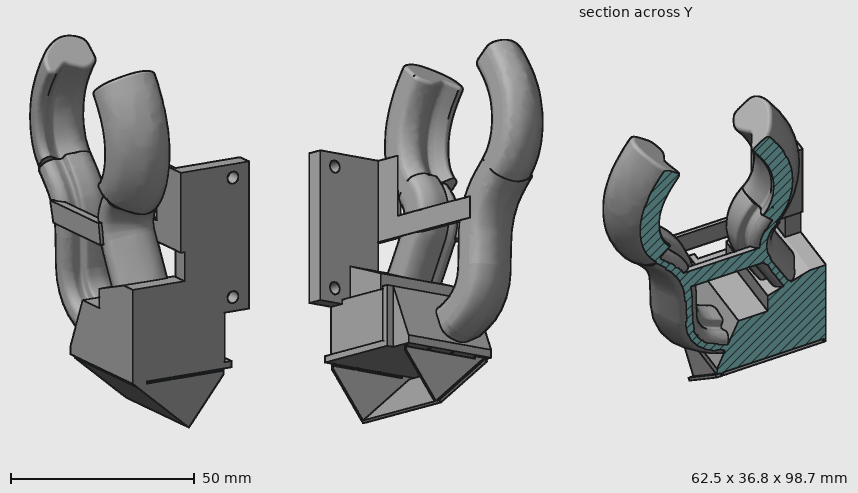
import cadquery as cq
import math


block_length = 33.26
block_depth = 29.1
nose_height = 2.2
shelf_start = 26.7
shelf_height = 17.0
step_length = 17.8
step_edge_height = 22.5
step_depth = 26.2
block_height = 26.7

plate_thickness = 4.8
plate_depth = 36.78
plate_bottom = 15.8
plate_top = 57.6
web_front = 15.2
web_back = 16.35
web_length = 13.0
hole_diameter = 3.4
hole_depth_position = 31.7
hole_heights = (19.85, 53.75)

lip_depth = 2.15
lip_wall = 1.8

sheet_thickness = 0.85
sheet_tip = (17.75, -15.05)
support_gap = 0.6
post_width = 0.6
slot_length = 7.5
slot_count = 3
first_slot = 4.45
rib_thickness = 0.6
rib_inset = 1.45
rib_back_height = 1.6

arm_axis = -33.4
arm_width = 11.8
arm_back = 16.2
end_rounding = 1.0
jaw_tip = (-15.4, 80.45)
jaw_side = (-23.15, 61.6)
jaw_root = (-18.2, 48.0)
jaw_tip_direction = (-0.61, -0.79)
jaw_root_direction = (1, -1)
left_leg = [(-9.2, 39.0), (-8.45, 13.0), (7.5, 6.4)]
left_leg_radii = (20.0, 14.0)
right_leg = [(-12.3, 42.1), (-24.6, 20.0)]
right_leg_radii = (10.0,)

bar_bottom = 34.9
bar_top = 40.85
front_bar_front = 0.15
front_bar_back = 2.8
bar_left = (-44.3, -42.6)
bar_right = (-18.5, -17.4)
rear_bar_left = -44.0


def prism_along_y(points, front, back):
    """Straight-sided XZ outline, extruded from Y = front to Y = back."""
    outline = cq.Workplane("XZ", origin=(0, front, 0)).polyline(points).close()
    return outline.extrude(front - back)


def prism_along_x(points, start, length):
    """Straight-sided YZ outline, extruded in +X from X = start."""
    return cq.Workplane("YZ", origin=(start, 0, 0)).polyline(points).close().extrude(length)


def box_between(low, high):
    size = [b - a for a, b in zip(low, high)]
    return cq.Workplane("XY").box(*size, centered=False).translate(low)


def make_block():
    lower = prism_along_y(
        [
            (0, 0),
            (-block_length, 0),
            (-block_length, nose_height),
            (-shelf_start, shelf_height),
            (0, shelf_height),
        ],
        0,
        block_depth,
    )
    step = prism_along_y(
        [
            (0, 0),
            (-step_length, 0),
            (-step_length, step_edge_height),
            (-plate_thickness, block_height),
            (0, block_height),
        ],
        0,
        step_depth,
    )
    return lower.union(step)


def make_plate():
    plate = box_between((-plate_thickness, web_back, plate_bottom), (0, plate_depth, plate_top))
    holes = (
        cq.Workplane("YZ")
        .pushPoints([(hole_depth_position, height) for height in hole_heights])
        .circle(hole_diameter / 2)
        .extrude(-plate_thickness)
    )
    web = box_between((-web_length, web_front, bar_bottom), (0, web_back, plate_top))
    return plate.cut(holes).union(web)


def make_lip():
    """L-shaped ledge on the back of the block: an upright stop and a floor."""
    back = block_depth + lip_depth
    floor = box_between((-shelf_start, block_depth, 0), (0, back, lip_wall))
    stop = box_between(
        (-shelf_start, block_depth, 0), (lip_wall - shelf_start, back, shelf_height)
    )
    return floor.union(stop)


def make_support():
    """Sloping sheet hung under the block on two triangular ribs with slotted tops."""
    tip_y, tip_z = sheet_tip
    slope = math.atan2(-tip_z, tip_y)
    inward = (sheet_thickness * math.sin(slope), sheet_thickness * math.cos(slope))
    top_z = -support_gap - inward[1]
    top_y = -top_z / math.tan(slope)
    sheet = prism_along_x(
        [
            (tip_y, tip_z),
            (tip_y + inward[0], tip_z + inward[1]),
            (top_y + inward[0], top_z + inward[1]),
            (top_y, top_z),
        ],
        -block_length,
        block_length,
    )
    rib_back = first_slot + slot_count * slot_length + slot_count * post_width
    rib_outline = [
        (0, 0),
        (tip_y, tip_z),
        (tip_y + inward[0], tip_z + inward[1]),
        (rib_back, -rib_back_height),
        (rib_back, 0),
    ]
    support = sheet
    for start in (rib_inset - block_length, -rib_thickness):
        rib = prism_along_x(rib_outline, start, rib_thickness)
        for index in range(slot_count):
            slot_front = first_slot + index * (slot_length + post_width)
            slot = box_between(
                (start, slot_front, -support_gap),
                (start + rib_thickness, slot_front + slot_length, 0),
            )
            rib = rib.cut(slot)
        support = support.union(rib)
    return support


def section_plane(start, direction):
    """Plane across an arm: local x points outward, local y is +Y, the origin is mid-width."""
    across = cq.Vector(direction[1], 0, -direction[0]).normalized()
    return cq.Plane(
        origin=(start[0], 0, start[1]),
        xDir=across.toTuple(),
        normal=(direction[0], 0, direction[1]),
    )


def centred(points):
    """Section points moved so that mid-width is at zero."""
    return [(distance - arm_width / 2, y) for distance, y in points]


def arm_section(plane, groove, lip):
    """Comma-shaped arm section, drawn from the front of the lip round the back to the groove.

    Points are given as (distance from the inner side, Y). The groove points lead from the
    inner bulge to the bottom of the groove, and the lip points from there round to the front.
    """
    belly = [
        (arm_width - 2.3, 4.6),
        (arm_width, 10.6),
        (arm_width - 1.3, 14.6),
        (arm_width - 4.6, arm_back),
    ]
    bulge_start = (3.6, arm_back)
    bulge = [(1.0, 14.6), (0, 11.4)]
    lip_inner, lip_nose, lip_front = lip
    into_lip = (lip_inner[0] - groove[-1][0], lip_inner[1] - groove[-1][1])
    outward = (1, 0)
    inward = (-1, 0)
    return (
        cq.Workplane(plane)
        .moveTo(*centred([lip_front])[0])
        .spline(centred(belly), tangents=[outward, inward], includeCurrent=True)
        .lineTo(*centred([bulge_start])[0])
        .spline(centred(bulge + groove), tangents=[inward, into_lip], includeCurrent=True)
        .lineTo(*centred([lip_inner])[0])
        .spline(centred([lip_nose, lip_front]), tangents=[into_lip, outward], includeCurrent=True)
        .close()
    )


def rounded_path(points, radii):
    """XZ path of straight runs joined by tangent arcs at the inner points."""
    path = cq.Workplane("XZ").moveTo(*points[0])
    for before, corner, after, radius in zip(points, points[1:], points[2:], radii):
        middle = cq.Vector(*corner)
        back = (cq.Vector(*before) - middle).normalized()
        ahead = (cq.Vector(*after) - middle).normalized()
        half_angle = back.getAngle(ahead) / 2
        reach = radius / math.tan(half_angle)
        to_centre = (back + ahead).normalized()
        nearest = middle + to_centre * (radius / math.sin(half_angle) - radius)
        arc_start = middle + back * reach
        arc_end = middle + ahead * reach
        path = path.lineTo(arc_start.x, arc_start.y)
        path = path.threePointArc((nearest.x, nearest.y), (arc_end.x, arc_end.y))
    return path.lineTo(*points[-1])


def make_jaw():
    """Upper part of an arm, with the full lip and a rounded tip."""
    groove = [(0.6, 9.8), (2.2, 7.0), (1.8, 4.8)]
    lip = [(0.1, 2.4), (0.4, 0.7), (1.6, 0.1)]
    section = arm_section(section_plane(jaw_tip, jaw_tip_direction), groove, lip)
    path = cq.Workplane("XZ").spline(
        [jaw_tip, jaw_side, jaw_root], tangents=[jaw_tip_direction, jaw_root_direction]
    )
    tip = cq.selectors.NearestToPointSelector((jaw_tip[0], arm_back / 2, jaw_tip[1]))
    return section.sweep(path).faces(tip).edges().fillet(end_rounding)


def make_leg(corners, radii):
    """Lower part of an arm, with a shorter lip rolled over at the front."""
    groove = [(0.2, 9.2), (0.9, 7.1), (2.5, 5.4)]
    lip = [(2.1, 4.3), (2.9, 2.0), (5.7, 1.1)]
    section = arm_section(section_plane(jaw_root, jaw_root_direction), groove, lip)
    return section.sweep(rounded_path([jaw_root] + corners, radii))


def place_left(arm):
    return arm.translate((arm_axis, 0, 0))


def place_right(arm):
    return place_left(arm.mirror("YZ"))


def make_arms():
    jaw = make_jaw()
    left = place_left(make_leg(left_leg, left_leg_radii)).union(place_left(jaw))
    right = place_right(make_leg(right_leg, right_leg_radii)).union(place_right(jaw))
    return left.union(right)


def make_bars():
    front_bar = prism_along_y(
        [
            (bar_left[0], bar_top),
            (bar_left[1], bar_bottom),
            (bar_right[1], bar_bottom),
            (bar_right[0], bar_top),
        ],
        front_bar_front,
        front_bar_back,
    )
    rear_bar = box_between((rear_bar_left, web_front, bar_bottom), (0, web_back, bar_top))
    return front_bar.union(rear_bar)


result = make_block()
for feature in (make_plate(), make_lip(), make_support(), make_bars(), make_arms()):
    result = result.union(feature)